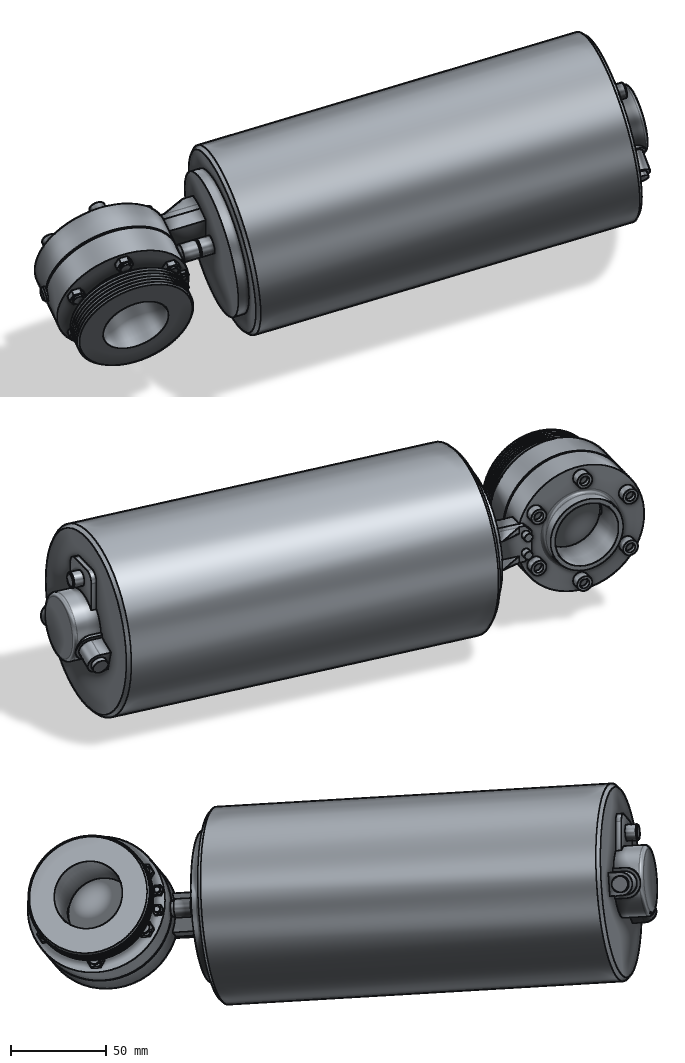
import cadquery as cq
import math

VALVE_RADIUS = 37.0
BORE_RADIUS = 18.3
HALF_OUTER_X = 16.5
SEAL_THICKNESS = 1.0
SEAL_FACE_X = SEAL_THICKNESS / 2

PIPE_RADIUS = 21.0
PIPE_END_X = -24.5
PIPE_ROOT_FILLET = 2.0

CONE_ROOT_RADIUS = 22.0
THREAD_START_X = 24.0
THREAD_END_X = 36.0
THREAD_CREST_RADIUS = 32.5
THREAD_DEPTH = 1.0
THREAD_CRESTS = 6

SCREW_COUNT = 6
SCREW_CIRCLE_RADIUS = 30.5
SCREW_HEAD_RADIUS = 4.3
SCREW_HEAD_HEIGHT = 5.3
SOCKET_RADIUS = 2.5
SOCKET_DEPTH = 2.5
NUT_ACROSS_FLATS = 8.0
NUT_HEIGHT = 3.3
SCREW_TIP_RADIUS = 3.0
SCREW_TIP_LENGTH = 1.3

STEM_RADIUS = 4.0
DISC_THICKNESS = 3.3
STEM_TIP_Y = -39.0
STEM_TIP_CHAMFER = 1.0

ACTUATOR_RADIUS = 104.0 / 2
ACTUATOR_START_Y = 62.0
ACTUATOR_END_Y = 278.0
ACTUATOR_CHAMFER = 2.0
NECK_RADIUS = 40.0
NECK_START_Y = 56.0
ROD_RADIUS = 5.0
ROD_CHAMFER = 2.0
ROD_CHAMFER_INSET = 1.0
ROD_GROOVE_Y = 48.0
ROD_GROOVE_WIDTH = 1.0
ROD_GROOVE_DEPTH = 0.5

CAP_RADIUS = 37.5 / 2
CAP_END_Y = 293.7
CAP_FILLET = 2.0
PORT_Y = 284.5
PORT_TILT_DEG = 17.5
COLLAR_RADIUS = 8.0
COLLAR_REACH = 19.0
PORT_RADIUS = 12.3 / 2
PORT_REACH = 30.5
PORT_TIP_RADIUS = 4.3
PORT_TIP_REACH = 33.3
TAB_WIDTH = 26.0
TAB_TOP_Z = 35.0
TAB_THICKNESS = 3.0
TAB_FILLET = 5.3
TAB_SCREW_RADIUS = 4.3
TAB_SCREW_Z = 26.5
TAB_SCREW_END_Y = 287.5
TAB_SCREW_CHAMFER = 0.5

SUPPORT_HALF_WIDTH = 10.5
SUPPORT_INNER_X = -8.3

PLATE_OUTER_X = -20.0
PLATE_END_Y = 29.5
PLATE_CORNER_CHAMFER = 4.0

RIB_TIP_X = -27.3
RIB_BASE_WIDTH = 4.0
RIB_SLOPE_START_Y = 50.0
RIB_END_Y = 37.0

BRACKET_SCREW_Y = 33.3
BRACKET_SCREW_Z = 5.3
BRACKET_SCREW_RADIUS = 2.3
BRACKET_SCREW_HEIGHT = 4.0
BRACKET_NUT_ACROSS_FLATS = 5.3
BRACKET_NUT_HEIGHT = 2.0
BRACKET_TIP_RADIUS = 1.5
BRACKET_TIP_LENGTH = 1.3


def rod_x(radius, x_start, x_end, y=0.0, z=0.0):
    """Cylinder along X."""
    return cq.Workplane("YZ", origin=(x_start, y, z)).circle(radius).extrude(x_end - x_start)


def rod_y(radius, y_start, y_end, z=0.0):
    """Cylinder along Y."""
    return cq.Workplane("XZ", origin=(0, y_start, z)).circle(radius).extrude(y_start - y_end)


def hexagon_x(across_flats, x_start, x_end, y, z):
    """Hexagonal bar along X with corners toward +Y and -Y."""
    corner_diameter = across_flats / math.cos(math.radians(30))
    return (
        cq.Workplane("YZ", origin=(x_start, y, z))
        .polygon(6, corner_diameter)
        .extrude(x_end - x_start)
    )


def screw_places():
    """Y and Z of the clamping screws, the first one straight above the centre."""
    step = 2 * math.pi / SCREW_COUNT
    angles = [math.pi / 2 + step * i for i in range(SCREW_COUNT)]
    return [(SCREW_CIRCLE_RADIUS * math.cos(a), SCREW_CIRCLE_RADIUS * math.sin(a)) for a in angles]


def bracket_screw_places():
    """Y and Z of the two screws of the bracket plate."""
    return [(BRACKET_SCREW_Y, z) for z in (-BRACKET_SCREW_Z, BRACKET_SCREW_Z)]


def nut_with_tip(across_flats, nut_height, tip_radius, tip_length, y, z):
    """Nut on the +X face of the valve, with the screw end standing out of it."""
    nut_end_x = HALF_OUTER_X + nut_height
    nut = hexagon_x(across_flats, HALF_OUTER_X, nut_end_x, y, z)
    return nut.union(rod_x(tip_radius, nut_end_x, nut_end_x + tip_length, y, z))


def make_pipe_half():
    """Valve half on the -X side: flange, plain pipe end and screw heads."""
    fillet_top = PIPE_RADIUS + PIPE_ROOT_FILLET
    fillet_end_x = -HALF_OUTER_X - PIPE_ROOT_FILLET
    diagonal = PIPE_ROOT_FILLET * math.sqrt(0.5)
    half = (
        cq.Workplane("XY")
        .moveTo(-SEAL_FACE_X, BORE_RADIUS)
        .lineTo(-SEAL_FACE_X, VALVE_RADIUS)
        .lineTo(-HALF_OUTER_X, VALVE_RADIUS)
        .lineTo(-HALF_OUTER_X, fillet_top)
        .threePointArc((fillet_end_x + diagonal, fillet_top - diagonal), (fillet_end_x, PIPE_RADIUS))
        .lineTo(PIPE_END_X, PIPE_RADIUS)
        .lineTo(PIPE_END_X, BORE_RADIUS)
        .close()
        .revolve(360, (0, 0, 0), (1, 0, 0))
    )
    head_end_x = -HALF_OUTER_X - SCREW_HEAD_HEIGHT
    for y, z in screw_places():
        half = half.union(rod_x(SCREW_HEAD_RADIUS, head_end_x, -HALF_OUTER_X, y, z))
        half = half.cut(rod_x(SOCKET_RADIUS, head_end_x, head_end_x + SOCKET_DEPTH, y, z))
    return half.cut(make_stem())


def make_thread_half():
    """Valve half on the +X side: flange, cone, threaded end and nuts."""
    root_radius = THREAD_CREST_RADIUS - THREAD_DEPTH
    pitch = (THREAD_END_X - THREAD_START_X) / THREAD_CRESTS
    outline = (
        cq.Workplane("XY")
        .moveTo(SEAL_FACE_X, BORE_RADIUS)
        .lineTo(SEAL_FACE_X, VALVE_RADIUS)
        .lineTo(HALF_OUTER_X, VALVE_RADIUS)
        .lineTo(HALF_OUTER_X, CONE_ROOT_RADIUS)
        .lineTo(THREAD_START_X, root_radius)
    )
    for i in range(THREAD_CRESTS):
        x = THREAD_START_X + pitch * i
        outline = outline.lineTo(x + pitch / 2, THREAD_CREST_RADIUS).lineTo(x + pitch, root_radius)
    half = outline.lineTo(THREAD_END_X, BORE_RADIUS).close().revolve(360, (0, 0, 0), (1, 0, 0))
    for y, z in screw_places():
        half = half.union(
            nut_with_tip(NUT_ACROSS_FLATS, NUT_HEIGHT, SCREW_TIP_RADIUS, SCREW_TIP_LENGTH, y, z)
        )
    for y, z in bracket_screw_places():
        half = half.union(
            nut_with_tip(
                BRACKET_NUT_ACROSS_FLATS,
                BRACKET_NUT_HEIGHT,
                BRACKET_TIP_RADIUS,
                BRACKET_TIP_LENGTH,
                y,
                z,
            )
        )
    return half.cut(make_stem())


def make_stem():
    """Full-length stem along Y; it also cuts the stem holes of the valve halves."""
    return rod_y(STEM_RADIUS, STEM_TIP_Y, VALVE_RADIUS).faces("<Y").chamfer(STEM_TIP_CHAMFER)


def make_disc():
    """Closing disc with a stem end on each side and the flat rim clamped between the valve halves."""
    rim = rod_x(VALVE_RADIUS, -SEAL_FACE_X, SEAL_FACE_X)
    plate = rod_x(BORE_RADIUS, -DISC_THICKNESS / 2, DISC_THICKNESS / 2)
    stem_ends = make_stem().cut(rod_x(BORE_RADIUS, -HALF_OUTER_X, HALF_OUTER_X))
    return rim.union(plate).union(stem_ends)


def make_rod():
    """Drive rod that reaches from the actuator neck to the stem."""
    rod = rod_y(ROD_RADIUS, VALVE_RADIUS, NECK_START_Y)
    rod = rod.faces("<Y").chamfer(ROD_CHAMFER, ROD_CHAMFER_INSET)
    groove_end_y = ROD_GROOVE_Y + ROD_GROOVE_WIDTH
    groove = rod_y(ROD_RADIUS, ROD_GROOVE_Y, groove_end_y).cut(
        rod_y(ROD_RADIUS - ROD_GROOVE_DEPTH, ROD_GROOVE_Y, groove_end_y)
    )
    return rod.cut(groove)


def arched_bar(radius, reach):
    """Bar from the cap axis toward -X, round on its +Y side, its flanks reaching the actuator."""
    return (
        cq.Workplane("YZ", origin=(-reach, 0, 0))
        .moveTo(ACTUATOR_END_Y, -radius)
        .lineTo(PORT_Y, -radius)
        .threePointArc((PORT_Y + radius, 0), (PORT_Y, radius))
        .lineTo(ACTUATOR_END_Y, radius)
        .close()
        .extrude(reach)
    )


def make_port():
    """Sloping port on the -X side of the cap, with a collar and a round tip."""
    port = (
        arched_bar(COLLAR_RADIUS, COLLAR_REACH)
        .union(arched_bar(PORT_RADIUS, PORT_REACH))
        .union(rod_x(PORT_TIP_RADIUS, -PORT_TIP_REACH, 0, PORT_Y))
    )
    return port.rotate((0, 0, 0), (0, 1, 0), -PORT_TILT_DEG)


def make_cap():
    """Round cap with two side ports and a tab with its screw."""
    cap = rod_y(CAP_RADIUS, ACTUATOR_END_Y, CAP_END_Y).faces(">Y").edges().fillet(CAP_FILLET)
    tab = (
        cq.Workplane("XY")
        .box(TAB_WIDTH, TAB_THICKNESS, TAB_TOP_Z, centered=(True, False, False))
        .translate((0, ACTUATOR_END_Y, 0))
        .edges("|Y and >Z")
        .fillet(TAB_FILLET)
    )
    tab_screw = (
        rod_y(TAB_SCREW_RADIUS, ACTUATOR_END_Y, TAB_SCREW_END_Y, z=TAB_SCREW_Z)
        .faces(">Y")
        .chamfer(TAB_SCREW_CHAMFER)
    )
    port = make_port()
    return cap.union(port).union(port.mirror("YZ")).union(tab).union(tab_screw)


def make_support_leg():
    """Leg from the neck down to the valve, hollowed at its foot to fit the round rim."""
    leg = (
        cq.Workplane("XY")
        .box(
            HALF_OUTER_X + SUPPORT_INNER_X,
            NECK_START_Y,
            2 * SUPPORT_HALF_WIDTH,
            centered=(False, False, True),
        )
        .translate((-HALF_OUTER_X, 0, 0))
    )
    return leg.cut(rod_x(VALVE_RADIUS, -HALF_OUTER_X, HALF_OUTER_X))


def make_actuator():
    """Actuator cylinder with its neck, drive rod, support leg and cap."""
    cylinder = rod_y(ACTUATOR_RADIUS, ACTUATOR_START_Y, ACTUATOR_END_Y)
    cylinder = cylinder.faces("<Y or >Y").chamfer(ACTUATOR_CHAMFER)
    neck = rod_y(NECK_RADIUS, NECK_START_Y, ACTUATOR_START_Y)
    actuator = cylinder.union(neck).union(make_rod()).union(make_support_leg())
    return actuator.union(make_cap())


def make_rib():
    """Rib on the upper edge of the plate, sharp at its tip and cut off at a slant toward the valve."""
    inner_z = SUPPORT_HALF_WIDTH - RIB_BASE_WIDTH
    wedge = (
        cq.Workplane("XZ", origin=(0, NECK_START_Y, 0))
        .moveTo(PLATE_OUTER_X, inner_z)
        .lineTo(PLATE_OUTER_X, SUPPORT_HALF_WIDTH)
        .lineTo(RIB_TIP_X, SUPPORT_HALF_WIDTH - RIB_BASE_WIDTH / 2)
        .close()
        .extrude(NECK_START_Y - RIB_END_Y)
    )
    slant = (
        cq.Workplane("XY", origin=(0, 0, inner_z))
        .moveTo(RIB_TIP_X, RIB_SLOPE_START_Y)
        .lineTo(PLATE_OUTER_X, RIB_END_Y)
        .lineTo(RIB_TIP_X, RIB_END_Y)
        .close()
        .extrude(RIB_BASE_WIDTH)
    )
    return wedge.cut(slant)


def make_bracket():
    """Plate lying against the valve face, with a rib along each edge and two screw heads."""
    plate = (
        cq.Workplane("XY")
        .box(
            -HALF_OUTER_X - PLATE_OUTER_X,
            NECK_START_Y - PLATE_END_Y,
            2 * SUPPORT_HALF_WIDTH,
            centered=(False, False, True),
        )
        .translate((PLATE_OUTER_X, PLATE_END_Y, 0))
        .edges("|X and <Y")
        .chamfer(PLATE_CORNER_CHAMFER)
    )
    rib = make_rib()
    bracket = plate.union(rib).union(rib.mirror("XY"))
    head_end_x = PLATE_OUTER_X - BRACKET_SCREW_HEIGHT
    for y, z in bracket_screw_places():
        bracket = bracket.union(rod_x(BRACKET_SCREW_RADIUS, head_end_x, PLATE_OUTER_X, y, z))
    return bracket


actuator = make_actuator()
bracket = make_bracket()
pipe_half = make_pipe_half()
thread_half = make_thread_half()
disc = make_disc()

result = cq.Compound.makeCompound(
    [actuator.val(), bracket.val(), pipe_half.val(), thread_half.val(), disc.val()]
)